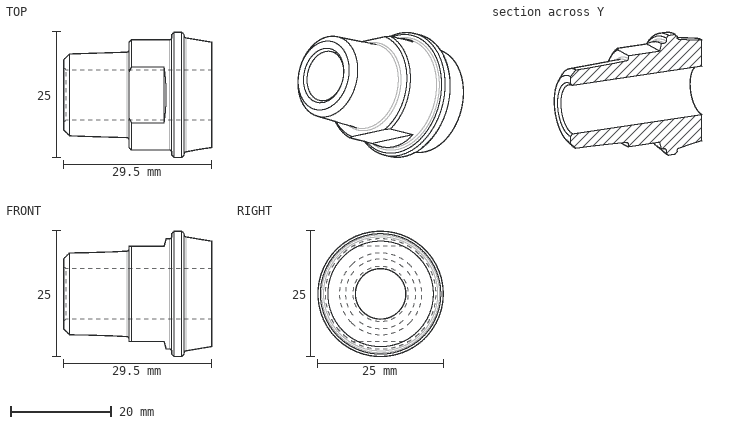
import cadquery as cq
import math

length = 29.5
shoulder_x = 13.0
flat_end_x = 20.0
collar_start_x = 21.5
collar_end_x = 24.0

bore_r = 10.0 / 2
spigot_r = 8.17
spigot_taper = 1 / 32
body_r = 22.0 / 2
collar_r = 25.0 / 2
tail_start_r = 11.35
tail_end_r = 10.5

spigot_chamfer = 1.2
edge_chamfer = 0.5
bore_chamfer = 0.5
fillet_r = 0.38

flat_half_height = 9.5
flat_end_angle = 15.0


def turned_body():
    """Outer profile and chamfered bore revolved about the X axis."""
    spigot_end_x = shoulder_x - fillet_r
    spigot_end_r = spigot_r + spigot_taper * (spigot_end_x - spigot_chamfer)
    profile = (
        cq.Workplane("XY")
        .moveTo(0, bore_r + bore_chamfer)
        .lineTo(0, spigot_r - spigot_chamfer)
        .lineTo(spigot_chamfer, spigot_r)
        .lineTo(spigot_end_x, spigot_end_r)
        .tangentArcPoint((shoulder_x, spigot_end_r + fillet_r), relative=False)
        .lineTo(shoulder_x, body_r - edge_chamfer)
        .lineTo(shoulder_x + edge_chamfer, body_r)
        .lineTo(collar_start_x - fillet_r, body_r)
        .tangentArcPoint((collar_start_x, body_r + fillet_r), relative=False)
        .lineTo(collar_start_x, collar_r - edge_chamfer)
        .lineTo(collar_start_x + edge_chamfer, collar_r)
        .lineTo(collar_end_x - edge_chamfer, collar_r)
        .lineTo(collar_end_x, collar_r - edge_chamfer)
        .lineTo(collar_end_x, tail_start_r + fillet_r)
        .tangentArcPoint((collar_end_x + fillet_r, tail_start_r), relative=False)
        .lineTo(length, tail_end_r)
        .lineTo(length, bore_r)
        .lineTo(bore_chamfer, bore_r)
        .close()
    )
    return profile.revolve(360, (0, 0, 0), (1, 0, 0))


def flat_cutter():
    """Prism above the upper wrench flat, with a sloping end wall."""
    depth = body_r - flat_half_height
    slope_run = depth * math.tan(math.radians(flat_end_angle))
    return (
        cq.Workplane("XZ")
        .moveTo(shoulder_x, flat_half_height)
        .lineTo(flat_end_x, flat_half_height)
        .lineTo(flat_end_x + slope_run, body_r)
        .lineTo(shoulder_x, body_r)
        .close()
        .extrude(body_r, both=True)
    )


upper_cutter = flat_cutter()
lower_cutter = upper_cutter.mirror("XY")
result = turned_body().cut(upper_cutter).cut(lower_cutter)